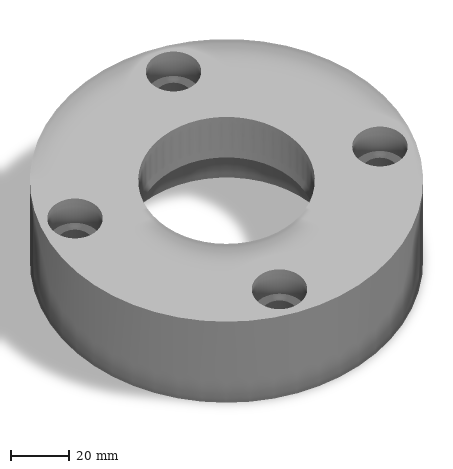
import cadquery as cq
import math

outer_diameter = 134.9
height = 39.9

bore_diameter = 60.5
lower_bore_diameter = 80.0
lower_bore_depth = height / 2

bolt_circle_radius = 55.0
bolt_hole_diameter = 12.5
counterbore_diameter = 19.0
counterbore_depth = 12.0
bolt_angles = [57.8, 150.0, 240.0, 330.0]


def polar_point(radius, angle):
    """Point at a radius and an angle in degrees from +X."""
    turn = math.radians(angle)
    return (radius * math.cos(turn), radius * math.sin(turn))


bolt_points = [polar_point(bolt_circle_radius, angle) for angle in bolt_angles]

body = cq.Workplane("XY").circle(outer_diameter / 2).extrude(height)
bore = cq.Workplane("XY").circle(bore_diameter / 2).extrude(height)
lower_bore = cq.Workplane("XY").circle(lower_bore_diameter / 2).extrude(lower_bore_depth)

result = (
    body.cut(bore)
    .cut(lower_bore)
    .faces(">Z")
    .workplane(origin=(0, 0, height))
    .pushPoints(bolt_points)
    .cboreHole(bolt_hole_diameter, counterbore_diameter, counterbore_depth)
)